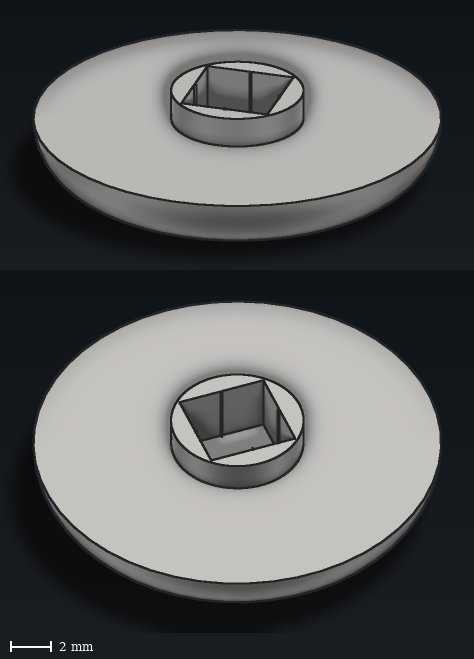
import cadquery as cq
import math

head_diameter = 20.0
head_height = 3.0
edge_radius = head_height

boss_diameter = 6.5
boss_height = 1.5
socket_width = 4.4
socket_depth = 3.0
grip_rib_width = 0.1
grip_rib_height = 0.1
wall_count = 4

head_radius = head_diameter / 2
flat_radius = head_radius - edge_radius
total_height = head_height + boss_height
socket_floor = total_height - socket_depth


def make_head():
    """Revolve the half profile, flat on top and rounded below."""
    arc_offset = edge_radius * math.sqrt(0.5)
    arc_middle = (flat_radius + arc_offset, head_height - arc_offset)
    profile = (
        cq.Workplane("XZ")
        .lineTo(flat_radius, 0)
        .threePointArc(arc_middle, (head_radius, head_height))
        .lineTo(0, head_height)
        .close()
    )
    return profile.revolve(360, (0, 0, 0), (0, 1, 0))


def make_boss():
    boss = cq.Workplane("XY").workplane(offset=head_height)
    return boss.circle(boss_diameter / 2).extrude(boss_height)


def make_grip_rib():
    """Triangular rib on the +X socket wall, pointing at the axis."""
    wall = socket_width / 2
    half_width = grip_rib_width / 2
    outline = [(wall, -half_width), (wall - grip_rib_height, 0), (wall, half_width)]
    floor_plane = cq.Workplane("XY").workplane(offset=socket_floor)
    return floor_plane.polyline(outline).close().extrude(socket_depth)


def make_socket():
    """Square socket volume, notched by a grip rib mid-way along each wall."""
    floor_plane = cq.Workplane("XY").workplane(offset=socket_floor)
    socket = floor_plane.rect(socket_width, socket_width).extrude(socket_depth)
    grip_rib = make_grip_rib()
    for index in range(wall_count):
        angle = index * 360 / wall_count
        socket = socket.cut(grip_rib.rotate((0, 0, 0), (0, 0, 1), angle))
    return socket


result = make_head().union(make_boss()).cut(make_socket())